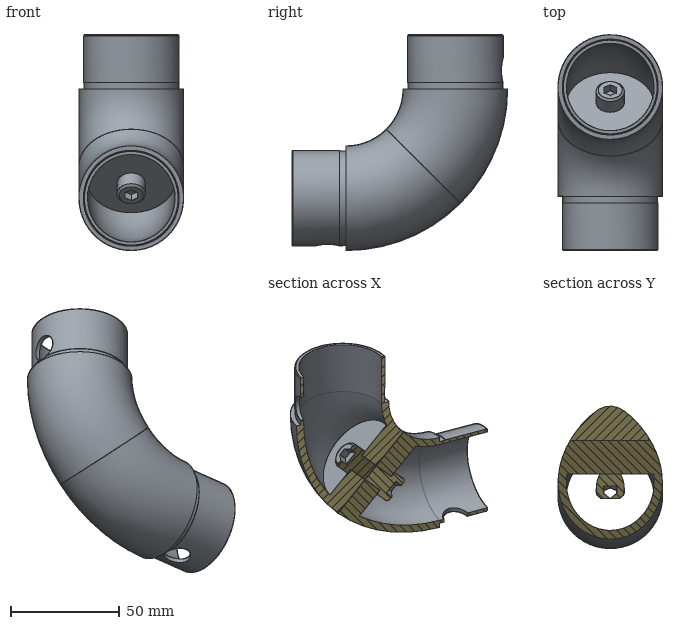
import cadquery as cq
import math


overall_size = 99.5

tube_diameter = 48.3
bore_diameter = 40.3
half_bend_angle = 45.0
wall_thickness = 10.9

spigot_length = 25.0
spigot_diameter = 44.2
spigot_end_chamfer = 0.5
neck_diameter = 43.8
neck_length = 3.0

radial_hole_diameter = 12.0
radial_hole_from_end = 16.5

head_diameter = 13.0
head_height = 8.0
head_chamfer = 1.0
shank_diameter = 8.0
socket_across_flats = 6.0
socket_depth = 4.0

spigot_end_z = overall_size / 2
shoulder_z = spigot_end_z - spigot_length
bend_radius = overall_size - spigot_length - tube_diameter / 2
spigot_axis_y = bend_radius - shoulder_z
parting_centre_y = bend_radius * math.cos(math.radians(half_bend_angle)) - shoulder_z

shoulder_plane = cq.Plane(origin=(0, spigot_axis_y, shoulder_z))

parting_plane = cq.Plane(
    origin=(0, parting_centre_y, -parting_centre_y),
    xDir=(1, 0, 0),
    normal=(0, 1, 1),
)


def parting_rod(diameter, length):
    """Straight rod standing on the parting plane, along the screw axis."""
    return cq.Workplane(parting_plane).circle(diameter / 2).extrude(length)


def bent_rod(diameter):
    """Round rod bent about the bend axis, from the shoulder down to the parting plane."""
    axis_start = (1, -bend_radius)
    axis_end = (-1, -bend_radius)
    return (
        cq.Workplane(shoulder_plane)
        .circle(diameter / 2)
        .revolve(half_bend_angle, axis_start, axis_end)
    )


def spigot():
    """Straight end piece with a slightly thinner neck next to the shoulder."""
    neck = cq.Workplane(shoulder_plane).circle(neck_diameter / 2).extrude(neck_length)
    sleeve = (
        cq.Workplane(shoulder_plane)
        .workplane(offset=neck_length)
        .circle(spigot_diameter / 2)
        .extrude(spigot_length - neck_length)
        .faces(">Z")
        .chamfer(spigot_end_chamfer)
    )
    return neck.union(sleeve)


def bore():
    """Hollow of one half: straight through the spigot, then along the bend to the inner wall."""
    straight = cq.Workplane(shoulder_plane).circle(bore_diameter / 2).extrude(spigot_length)
    wall = parting_rod(tube_diameter, wall_thickness)
    return straight.union(bent_rod(bore_diameter).cut(wall))


def radial_hole():
    """Cutter for the hole through the spigot on its +Y side only."""
    hole_plane = cq.Plane(
        origin=(0, spigot_axis_y, spigot_end_z - radial_hole_from_end),
        xDir=(1, 0, 0),
        normal=(0, 1, 0),
    )
    return cq.Workplane(hole_plane).circle(radial_hole_diameter / 2).extrude(spigot_diameter)


def elbow_half():
    """Upper half of the elbow, with a hole in its inner wall that fits the screw shank."""
    screw_hole = parting_rod(shank_diameter, wall_thickness)
    body = bent_rod(tube_diameter).union(spigot())
    return body.cut(bore()).cut(radial_hole()).cut(screw_hole)


def screw():
    """Socket-head screw of the upper half, its shank ending on the parting plane."""
    head_seat = cq.Workplane(parting_plane).workplane(offset=wall_thickness)
    head_top = cq.selectors.DirectionMinMaxSelector(parting_plane.zDir)
    head = (
        head_seat.circle(head_diameter / 2)
        .extrude(head_height)
        .faces(head_top)
        .chamfer(head_chamfer)
    )
    socket = (
        head_seat.workplane(offset=head_height - socket_depth)
        .polygon(6, socket_across_flats, circumscribed=True)
        .extrude(socket_depth)
    )
    shank = parting_rod(shank_diameter, wall_thickness)
    return head.cut(socket).union(shank)


def upper_and_lower(upper):
    """The upper body and its copy turned half a turn about the diagonal Y = -Z."""
    return [upper.rotate((0, 0, 0), (0, 1, -1), turn).solids().val() for turn in (0, 180)]


elbow_halves = upper_and_lower(elbow_half())
screws = upper_and_lower(screw())

result = cq.Compound.makeCompound([*elbow_halves, *screws])